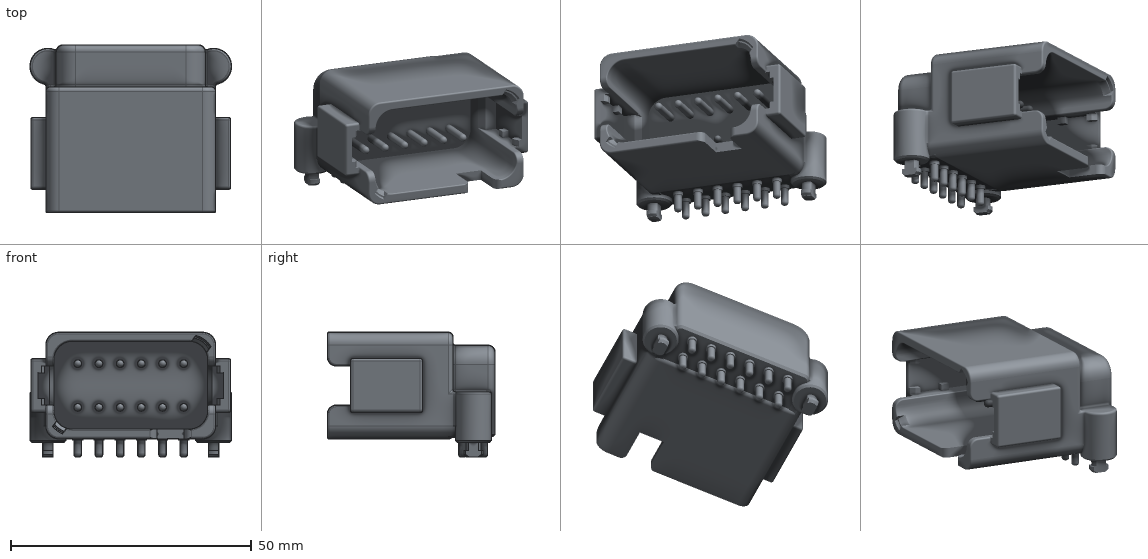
import cadquery as cq
import math


SHELL_WIDTH = 35.35
SHELL_HEIGHT = 22.2
SHELL_DEPTH = 26.15
SHELL_CORNER = 2.7
SHELL_REAR_FILLET = 1.0
MOUTH_FILLET = 0.35
SHELL_HALF = SHELL_WIDTH / 2

CAVITY_WIDTH = 32.0
CAVITY_HEIGHT = 18.25
CAVITY_CENTER_Z = 11.175
CAVITY_DEPTH = 24.0
CAVITY_CORNER = 3.8
LIP_FILLET = 0.25

BLOCK_WIDTH = 31.0
BLOCK_BOTTOM = 0.45
BLOCK_TOP = 19.5
BLOCK_REAR = 34.9
BLOCK_CORNER = 4.05
BLOCK_REAR_FILLET = 1.5
BLOCK_HEEL_CHAMFER = 0.5
JOINT_FILLET = 0.5

WINDOW_BOTTOM = 7.05
WINDOW_TOP = 15.15
WINDOW_END = 18.3
WINDOW_FLARE = 1.9
WINDOW_HEIGHT = WINDOW_TOP - WINDOW_BOTTOM
WINDOW_CENTER_Z = (WINDOW_TOP + WINDOW_BOTTOM) / 2
WINDOW_END_WIDTH = 0.9
WINDOW_END_LENGTH = 2.0
BOX_OUTER_X = 20.8
BOX_WALL = 1.5
BOX_FRONT = 4.8
BOX_REAR = WINDOW_END + BOX_WALL
BOX_HEIGHT = 11.25
BOX_FILLET = 0.5
POCKET_X = BOX_OUTER_X - BOX_WALL

STOP_INNER_X = 17.93
STOP_HEIGHT = 1.4
STOP_BEVEL_X = 0.6
STOP_BEVEL_Y = 0.95
FRONT_STOP_END = 6.9
REAR_STOP_START = 11.8
REAR_STOP_END = 13.6

NOTCH_LEFT = 5.46
NOTCH_RIGHT = 11.13
NOTCH_DEPTH = 7.6
NOTCH_FLARE = 1.5

KEY_OUTER_RADIUS = 5.2
KEY_FLOOR_RADIUS = 4.9
KEY_RAMP_RADIUS = 4.6
KEY_DEPTH = 0.6
KEY_RAMP_END = 2.0
KEY_ANGLE = 53.0
WIDE_KEY = 3.9
NARROW_KEY = 2.56

PILLAR_RADIUS = 3.75
OVERALL_WIDTH = 41.95
PILLAR_X = OVERALL_WIDTH / 2 - PILLAR_RADIUS
PILLAR_Y = 30.4
PILLAR_BOTTOM = -0.7
PILLAR_TOP = 9.8
PILLAR_CHAMFER = 0.4
PILLAR_FILLET = 0.5
NECK_FRONT = 25.1
NECK_BOTTOM = 0.3
NECK_FILLET = 0.5
PEG_RADIUS = 1.53
BARB_RADIUS = 2.0
BARB_TOP = -2.44
PEG_FLAT_WIDTH = 2.2
PEG_CHAMFER = 0.55

PIN_COUNT = 6
PIN_PITCH = 4.41
PIN_RADIUS = 0.8
PIN_TIP_Y = 16.0
PIN_ROWS = ((15.65, 32.55), (6.55, 28.1))
TAIL_BOTTOM = -3.79
TAIL_TIP_FILLET = 0.6
COLLAR_RADIUS = 1.05
COLLAR_BOTTOM = -0.25

OVERLAP = 1.0


def box(x0, x1, y0, y1, z0, z1):
    return cq.Workplane("XY").box(x1 - x0, y1 - y0, z1 - z0, centered=False).translate((x0, y0, z0))


def both_sides(body):
    return body.union(body.mirror("YZ"))


def rounded_bar(width, height, corner, center_z, start_y, length):
    """Bar of rounded rectangular section running towards +Y."""
    return (
        cq.Workplane("XZ", origin=(0, start_y, center_z))
        .sketch()
        .rect(width, height)
        .vertices()
        .fillet(corner)
        .finalize()
        .extrude(-length)
    )


def flared_slot(width, depth, flare, thickness):
    """Slot cutter running from y = 0 to depth, with rounded shoulders at its mouth."""
    half = width / 2
    slant = flare * math.sqrt(0.5)
    mid_x = half + flare - slant
    mid_y = flare - slant
    return (
        cq.Workplane("XY")
        .moveTo(-half, depth)
        .lineTo(half, depth)
        .lineTo(half, flare)
        .threePointArc((mid_x, mid_y), (half + flare, 0))
        .lineTo(half + flare, -OVERLAP)
        .lineTo(-half - flare, -OVERLAP)
        .lineTo(-half - flare, 0)
        .threePointArc((-mid_x, mid_y), (-half, flare))
        .close()
        .extrude(thickness)
    )


def make_shell():
    """Shell, closed at the rear, with side windows, rounded along its mouth and the window edges."""
    shell = rounded_bar(SHELL_WIDTH, SHELL_HEIGHT, SHELL_CORNER, SHELL_HEIGHT / 2, 0, SHELL_DEPTH)
    shell = shell.faces(">Y").edges().fillet(SHELL_REAR_FILLET)
    shell = shell.cut(make_cavity()).cut(both_sides(make_window()))
    for z in (0, SHELL_HEIGHT):
        shell = shell.edges(cq.selectors.NearestToPointSelector((0, 0, z))).fillet(MOUTH_FILLET)
    for side in (-1, 1):
        inner_z = CAVITY_CENTER_Z + side * CAVITY_HEIGHT / 2
        shell = shell.edges(cq.selectors.NearestToPointSelector((0, 0, inner_z))).fillet(LIP_FILLET)
    return shell


def make_block():
    """Block on a plate that lies flush with the rear face of the shell."""
    half = BLOCK_WIDTH / 2
    start = SHELL_DEPTH - SHELL_REAR_FILLET
    block = box(-half, half, start, BLOCK_REAR, BLOCK_BOTTOM, BLOCK_TOP)
    block = block.edges("|Y and >Z").fillet(BLOCK_CORNER)
    block = block.faces(">Y").edges("not <Z").fillet(BLOCK_REAR_FILLET)
    block = block.edges("|X and <Z and >Y").chamfer(BLOCK_HEEL_CHAMFER)
    margin = 2 * JOINT_FILLET
    plate = box(-half - margin, half + margin, start, SHELL_DEPTH, BLOCK_BOTTOM, BLOCK_TOP + margin)
    joint = cq.selectors.NearestToPointSelector((0, SHELL_DEPTH, BLOCK_TOP))
    return block.union(plate).edges(joint).fillet(JOINT_FILLET)


def make_pillar():
    """Round pillar with a neck that joins it to the rear corner of the shell."""
    shoulder_z = SHELL_CORNER
    neck_inner_x = PILLAR_X - PILLAR_RADIUS + OVERLAP
    post = cq.Workplane("XY", origin=(PILLAR_X, PILLAR_Y, PILLAR_BOTTOM)).circle(PILLAR_RADIUS)
    post = post.extrude(PILLAR_TOP - PILLAR_BOTTOM)
    neck = box(neck_inner_x, SHELL_HALF, NECK_FRONT, PILLAR_Y, shoulder_z, PILLAR_TOP)
    upper = post.intersect(box(0, OVERALL_WIDTH, 0, BLOCK_REAR, shoulder_z, PILLAR_TOP)).union(neck)
    meeting_y = PILLAR_Y - math.sqrt(PILLAR_RADIUS**2 - (SHELL_HALF - PILLAR_X) ** 2)
    corner = cq.selectors.NearestToPointSelector((SHELL_HALF, meeting_y, (shoulder_z + PILLAR_TOP) / 2))
    upper = upper.edges("|Z").edges(corner).fillet(NECK_FILLET)
    upper = upper.faces(">Z").edges().fillet(PILLAR_FILLET)
    lower_post = post.intersect(box(0, OVERALL_WIDTH, 0, BLOCK_REAR, PILLAR_BOTTOM, shoulder_z))
    lower_post = lower_post.faces("<Z").edges().chamfer(PILLAR_CHAMFER)
    lower_neck = rounded_bar(
        SHELL_WIDTH,
        SHELL_HEIGHT,
        SHELL_CORNER,
        SHELL_HEIGHT / 2,
        NECK_FRONT,
        PILLAR_Y - NECK_FRONT,
    )
    lower_neck = lower_neck.intersect(box(neck_inner_x, SHELL_WIDTH, 0, BLOCK_REAR, NECK_BOTTOM, shoulder_z))
    return upper.union(lower_post).union(lower_neck)


def make_peg():
    """Round shank with a wider barb at its tip, both cut by two flats."""
    reach = PILLAR_BOTTOM - TAIL_BOTTOM
    shank = cq.Workplane("XY").circle(PEG_RADIUS).extrude(reach + OVERLAP)
    barb = cq.Workplane("XY").circle(BARB_RADIUS).extrude(BARB_TOP - TAIL_BOTTOM)
    barb = barb.faces("<Z").chamfer(PEG_CHAMFER)
    flats = cq.Workplane("XY").rect(PEG_FLAT_WIDTH, 2 * BARB_RADIUS).extrude(reach + OVERLAP)
    return shank.union(barb).intersect(flats).translate((PILLAR_X, PILLAR_Y, TAIL_BOTTOM))


def make_side_box():
    half = BOX_HEIGHT / 2
    body = box(
        SHELL_HALF - OVERLAP,
        BOX_OUTER_X,
        BOX_FRONT,
        BOX_REAR,
        WINDOW_CENTER_Z - half,
        WINDOW_CENTER_Z + half,
    )
    return body.faces(">X or >Y or <Y").edges().fillet(BOX_FILLET)


def make_cavity():
    return rounded_bar(CAVITY_WIDTH, CAVITY_HEIGHT, CAVITY_CORNER, CAVITY_CENTER_Z, 0, CAVITY_DEPTH)


def make_window():
    """Opening through one side wall, flared at the mouth."""
    inner_x = CAVITY_WIDTH / 2
    return (
        flared_slot(WINDOW_HEIGHT, WINDOW_END, WINDOW_FLARE, POCKET_X - inner_x + OVERLAP)
        .rotate((0, 0, 0), (0, 1, 0), 90)
        .translate((inner_x - OVERLAP, 0, WINDOW_CENTER_Z))
    )


def make_window_slope():
    """Wedge that slopes the far end of one window back into the cavity."""
    inner_x = CAVITY_WIDTH / 2
    return (
        cq.Workplane("XY", origin=(0, 0, WINDOW_BOTTOM))
        .moveTo(inner_x - OVERLAP, WINDOW_END - OVERLAP)
        .lineTo(inner_x + WINDOW_END_WIDTH, WINDOW_END - OVERLAP)
        .lineTo(inner_x + WINDOW_END_WIDTH, WINDOW_END)
        .lineTo(inner_x, WINDOW_END + WINDOW_END_LENGTH)
        .lineTo(inner_x - OVERLAP, WINDOW_END + WINDOW_END_LENGTH)
        .close()
        .extrude(WINDOW_HEIGHT)
    )


def make_stops():
    """Front and rear stops along the top and bottom of one side pocket."""
    outer = POCKET_X + OVERLAP / 2
    front = (
        cq.Workplane("XY")
        .moveTo(STOP_INNER_X + STOP_BEVEL_X, BOX_FRONT)
        .lineTo(outer, BOX_FRONT)
        .lineTo(outer, FRONT_STOP_END)
        .lineTo(STOP_INNER_X, FRONT_STOP_END)
        .lineTo(STOP_INNER_X, BOX_FRONT + STOP_BEVEL_Y)
        .close()
        .extrude(STOP_HEIGHT)
    )
    rear = box(STOP_INNER_X, outer, REAR_STOP_START, REAR_STOP_END, 0, STOP_HEIGHT)
    pair = front.union(rear)
    lower = pair.translate((0, 0, WINDOW_BOTTOM))
    return lower.union(pair.translate((0, 0, WINDOW_TOP - STOP_HEIGHT)))


def make_key(side, width):
    """Recess at the mouth, on the top right (side = 1) or bottom left (side = -1) corner."""
    center_x = CAVITY_WIDTH / 2 - CAVITY_CORNER
    center_z = CAVITY_HEIGHT / 2 - CAVITY_CORNER
    ring = (
        cq.Workplane("XY")
        .moveTo(0, -OVERLAP)
        .lineTo(KEY_OUTER_RADIUS, -OVERLAP)
        .lineTo(KEY_OUTER_RADIUS, 0)
        .lineTo(KEY_FLOOR_RADIUS, KEY_DEPTH)
        .lineTo(KEY_RAMP_RADIUS, KEY_DEPTH)
        .lineTo(CAVITY_CORNER, KEY_RAMP_END)
        .lineTo(0, KEY_RAMP_END)
        .close()
        .revolve(360, (0, 0, 0), (0, 1, 0))
    )
    band = box(0, KEY_OUTER_RADIUS, -OVERLAP, KEY_RAMP_END, -width / 2, width / 2)
    key = ring.intersect(band).rotate((0, 0, 0), (0, 1, 0), -KEY_ANGLE)
    key = key.translate((center_x, 0, center_z))
    if side < 0:
        key = key.rotate((0, 0, 0), (0, 1, 0), 180)
    return key.translate((0, 0, CAVITY_CENTER_Z))


def make_contact(x, mating_z, tail_y):
    pin_length = CAVITY_DEPTH + OVERLAP - PIN_TIP_Y
    pin = cq.Workplane("XZ", origin=(x, PIN_TIP_Y + PIN_RADIUS, mating_z)).circle(PIN_RADIUS)
    pin = pin.extrude(PIN_RADIUS - pin_length)
    tip = cq.Workplane("XY", origin=(x, PIN_TIP_Y + PIN_RADIUS, mating_z)).sphere(PIN_RADIUS)
    tail = cq.Workplane("XY", origin=(x, tail_y, TAIL_BOTTOM)).circle(PIN_RADIUS)
    tail = tail.extrude(BLOCK_BOTTOM + OVERLAP - TAIL_BOTTOM).faces("<Z").edges().fillet(TAIL_TIP_FILLET)
    collar = cq.Workplane("XY", origin=(x, tail_y, COLLAR_BOTTOM)).circle(COLLAR_RADIUS)
    collar = collar.extrude(BLOCK_BOTTOM + OVERLAP - COLLAR_BOTTOM)
    return pin.union(tip).union(tail).union(collar)


def make_notch():
    notch = flared_slot(NOTCH_RIGHT - NOTCH_LEFT, NOTCH_DEPTH, NOTCH_FLARE, CAVITY_CENTER_Z)
    return notch.translate(((NOTCH_LEFT + NOTCH_RIGHT) / 2, 0, -OVERLAP))


housing = make_shell().union(make_block())
housing = housing.union(both_sides(make_pillar()))
for side in (-1, 1):
    step = cq.selectors.NearestToPointSelector((side * BLOCK_WIDTH / 2, PILLAR_Y, PILLAR_TOP))
    housing = housing.edges(step).fillet(JOINT_FILLET)
housing = housing.union(both_sides(make_side_box()))
housing = housing.cut(make_notch()).cut(both_sides(make_window().union(make_window_slope())))
housing = housing.union(both_sides(make_stops()))
housing = housing.cut(make_key(1, WIDE_KEY)).cut(make_key(-1, NARROW_KEY))

result = housing.union(both_sides(make_peg()))
for column in range(PIN_COUNT):
    contact_x = (column - (PIN_COUNT - 1) / 2) * PIN_PITCH
    for mating_z, tail_y in PIN_ROWS:
        result = result.union(make_contact(contact_x, mating_z, tail_y))